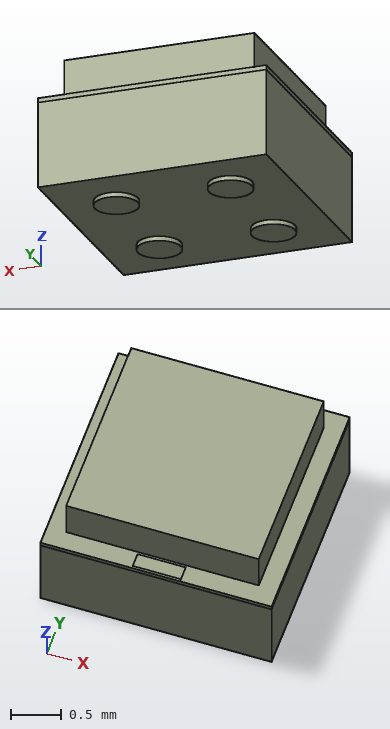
import cadquery as cq

side = 2.4
total_height = 1.45
pad_height = 0.048
base_height = 0.902
plate_height = 0.048
lid_side = 2.0

pad_diameter = 0.45
pad_pitch = 1.2

mark_length = 0.5
mark_width = 0.15
mark_center_y = -side / 2 + 0.1

base_bottom = pad_height
plate_bottom = base_bottom + base_height
lid_bottom = plate_bottom + plate_height
lid_height = total_height - lid_bottom


def block(length, width, height, bottom, center_y=0.0):
    """Rectangular block centred on X, standing on the height `bottom`."""
    return (
        cq.Workplane("XY", origin=(0, center_y, bottom))
        .rect(length, width)
        .extrude(height)
    )


def make_base():
    return block(side, side, base_height, base_bottom)


def make_mark():
    return block(mark_length, mark_width, plate_height, plate_bottom, mark_center_y)


def make_plate():
    """Thin plate with a window that holds the mark."""
    return block(side, side, plate_height, plate_bottom).cut(make_mark())


def make_lid():
    return block(lid_side, lid_side, lid_height, lid_bottom)


def make_pad(center_x, center_y):
    return (
        cq.Workplane("XY", origin=(center_x, center_y, 0))
        .circle(pad_diameter / 2)
        .extrude(pad_height)
    )


base = make_base()
plate = make_plate()
mark = make_mark()
lid = make_lid()

pads = []
for x_sign in (-1, 1):
    for y_sign in (-1, 1):
        pads.append(make_pad(x_sign * pad_pitch / 2, y_sign * pad_pitch / 2))

result = cq.Compound.makeCompound(
    [base.val(), plate.val(), mark.val(), lid.val(), *[pad.val() for pad in pads]]
)